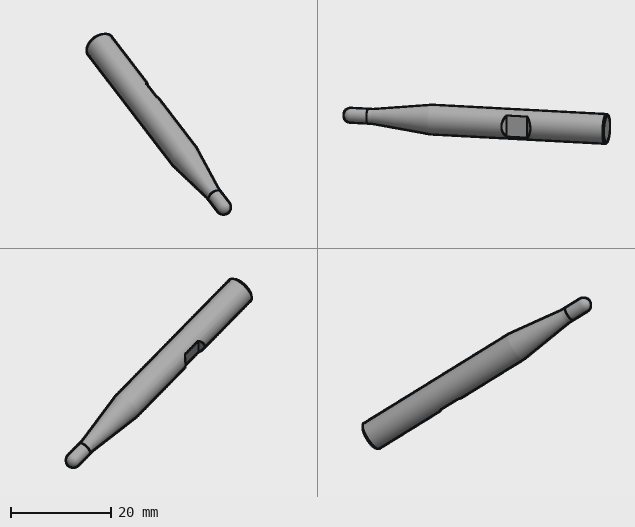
import cadquery as cq

total_length = 54.0
shank_diameter = 6.0
tip_diameter = 3.0
shank_length = 36.0
cone_length = 12.0
neck_length = 0.95
end_chamfer = 0.25

notch_center = 18.0
notch_floor_length = 4.2
notch_depth = 0.9
notch_wall_run = 0.85

shank_radius = shank_diameter / 2
tip_radius = tip_diameter / 2
cone_end = shank_length + cone_length
joint_x = cone_end + neck_length
ball_center_x = total_length - tip_radius


def make_notch_cutter():
    """Flared prism through Z whose floor is a flat on the shank."""
    floor_y = shank_radius - notch_depth
    cutter_height = 2 * notch_depth
    floor_half = notch_floor_length / 2
    mouth_half = floor_half + notch_wall_run * cutter_height / notch_depth
    return (
        cq.Workplane("XY")
        .moveTo(notch_center - floor_half, floor_y)
        .lineTo(notch_center + floor_half, floor_y)
        .lineTo(notch_center + mouth_half, floor_y + cutter_height)
        .lineTo(notch_center - mouth_half, floor_y + cutter_height)
        .close()
        .extrude(shank_radius, both=True)
    )


def make_shank():
    """Chamfered shank with a cone, a short neck and a clamping notch."""
    blank = (
        cq.Workplane("XY")
        .lineTo(0, shank_radius - end_chamfer)
        .lineTo(end_chamfer, shank_radius)
        .lineTo(shank_length, shank_radius)
        .lineTo(cone_end, tip_radius)
        .lineTo(joint_x, tip_radius)
        .lineTo(joint_x, 0)
        .close()
        .revolve(360, (0, 0, 0), (1, 0, 0))
    )
    return blank.cut(make_notch_cutter())


def make_ball_tip():
    """Cylinder ending in a hemisphere, butted against the neck."""
    return (
        cq.Workplane("XY")
        .moveTo(joint_x, 0)
        .lineTo(joint_x, tip_radius)
        .lineTo(ball_center_x, tip_radius)
        .radiusArc((total_length, 0), tip_radius)
        .close()
        .revolve(360, (0, 0, 0), (1, 0, 0))
    )


shank = make_shank()
ball_tip = make_ball_tip()

result = cq.Compound.makeCompound([shank.val(), ball_tip.val()])